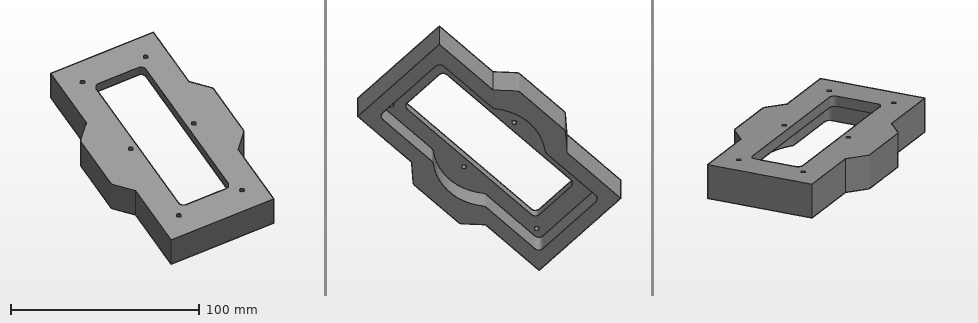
import cadquery as cq

length = 135.0
body_width = 62.0
overall_width = 80.0
height = 19.5
corner_fillet = 3.0

lobe_base = 55.1
lobe_tip = 34.8

plate_thickness = 6.0
window_length = 98.0
window_width = 29.8
hole_diameter = 2.4
hole_pitch_x = 54.0
hole_spacing_y = 38.1

wall = 8.0
cavity_length = length - 2 * wall
cavity_width = body_width - 2 * wall
cavity_depth = height - plate_thickness
bore_diameter = 60.0


def make_lobes():
    """Both lobes as one hexagonal block crossing the body."""
    return (
        cq.Workplane("XY")
        .moveTo(-lobe_base / 2, -body_width / 2)
        .lineTo(-lobe_tip / 2, -overall_width / 2)
        .lineTo(lobe_tip / 2, -overall_width / 2)
        .lineTo(lobe_base / 2, -body_width / 2)
        .lineTo(lobe_base / 2, body_width / 2)
        .lineTo(lobe_tip / 2, overall_width / 2)
        .lineTo(-lobe_tip / 2, overall_width / 2)
        .lineTo(-lobe_base / 2, body_width / 2)
        .close()
        .extrude(height)
    )


def make_body():
    """Solid outer block with rounded lobe tips."""
    block = cq.Workplane("XY").rect(length, body_width).extrude(height)
    tip_corners = cq.selectors.BoxSelector(
        (-lobe_base / 2, body_width / 2 + corner_fillet, 0),
        (lobe_base / 2, overall_width, height),
    ) + cq.selectors.BoxSelector(
        (-lobe_base / 2, -overall_width, 0),
        (lobe_base / 2, -body_width / 2 - corner_fillet, height),
    )
    return block.union(make_lobes()).edges("|Z").edges(tip_corners).fillet(corner_fillet)


def make_cavity():
    """Rounded rectangle plus bore, with the corners between them blended."""
    pocket = (
        cq.Workplane("XY")
        .rect(cavity_length, cavity_width)
        .extrude(cavity_depth)
        .edges("|Z")
        .fillet(corner_fillet)
    )
    bore = cq.Workplane("XY").circle(bore_diameter / 2).extrude(cavity_depth)
    bore_corners = cq.selectors.BoxSelector(
        (-bore_diameter / 2, -cavity_width, 0),
        (bore_diameter / 2, cavity_width, cavity_depth),
    )
    return pocket.union(bore).edges("|Z").edges(bore_corners).fillet(corner_fillet)


def make_window():
    return (
        cq.Workplane("XY")
        .rect(window_length, window_width)
        .extrude(height)
        .edges("|Z")
        .fillet(corner_fillet)
    )


def make_screw_holes():
    """Three columns and two rows of holes through the top plate."""
    return (
        cq.Workplane("XY")
        .rarray(hole_pitch_x, hole_spacing_y, 3, 2)
        .circle(hole_diameter / 2)
        .extrude(height)
    )


result = make_body().cut(make_cavity()).cut(make_window()).cut(make_screw_holes())